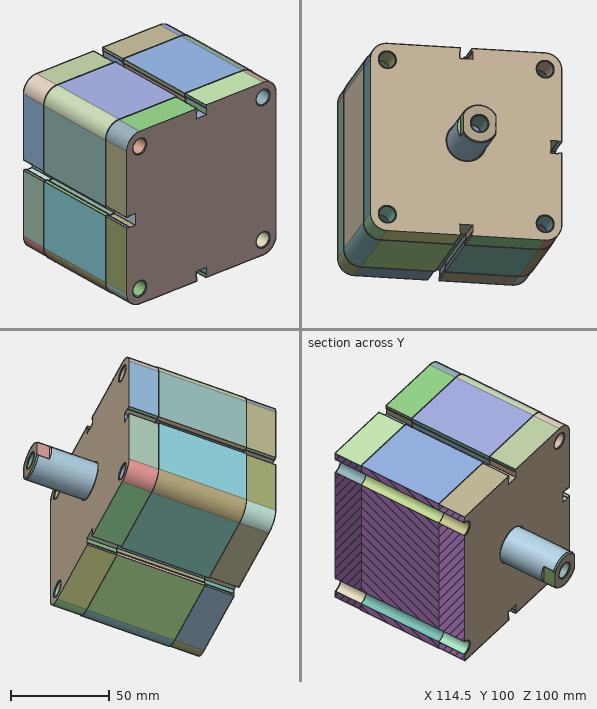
import cadquery as cq
import math


total_length = 114.5
rod_reach = 33.0
cap_length = 16.4
barrel_length = total_length - rod_reach - 2 * cap_length
rear_cap_start = cap_length + barrel_length

barrel_width = 100.0
cap_inset = 0.29
cap_width = barrel_width - 2 * cap_inset
screw_offset = 41.0
screw_sides = (-screw_offset, screw_offset)
screw_places = [(y, z) for y in screw_sides for z in screw_sides]
screw_hole_diameter = 8.5
hole_chamfer = 0.5

slot_floor_offset = 44.0
slot_lip_offset = 47.4
barrel_mouth_width = 5.2
barrel_groove_width = 6.0
cap_slot_clearance = 0.4
slot_turns = (0, 90, 180)

rod_diameter = 20.0
rod_chamfer_length = 0.9
rod_chamfer_depth = 0.5
flat_spacing = 17.0
flat_length = 6.9
flat_runout = 0.6
rod_hole_diameter = 8.7
rod_hole_depth = 18.3
drill_point_angle = 118.0


def slot_cutter(length, clearance):
    """Stepped slot on the +Z side, grown by a clearance on each wall and lip."""
    half_mouth = barrel_mouth_width / 2 + clearance
    half_groove = barrel_groove_width / 2 + clearance
    lip = slot_lip_offset + clearance
    outside = barrel_width / 2
    return (
        cq.Workplane("YZ")
        .polyline([
            (-half_groove, slot_floor_offset),
            (half_groove, slot_floor_offset),
            (half_groove, lip),
            (half_mouth, lip),
            (half_mouth, outside),
            (-half_mouth, outside),
            (-half_mouth, lip),
            (-half_groove, lip),
        ])
        .close()
        .extrude(length)
    )


def countersink(x, y, z, hole_diameter, depth_direction):
    """Cone that chamfers the mouth of a hole opening at (x, y, z) and running along X."""
    hole_radius = hole_diameter / 2
    return cq.Workplane(
        cq.Solid.makeCone(
            hole_radius + hole_chamfer,
            hole_radius,
            hole_chamfer,
            cq.Vector(x, y, z),
            cq.Vector(depth_direction, 0, 0),
        )
    )


def slotted_block(start, length, width, slot_clearance):
    """Square block along X with four screw holes and three sensor slots."""
    block = (
        cq.Workplane("YZ")
        .rect(width, width)
        .extrude(length)
        .edges("|X")
        .fillet(width / 2 - screw_offset)
    )
    holes = (
        cq.Workplane("YZ")
        .pushPoints(screw_places)
        .circle(screw_hole_diameter / 2)
        .extrude(length)
    )
    block = block.cut(holes)
    slot = slot_cutter(length, slot_clearance)
    for turn in slot_turns:
        block = block.cut(slot.rotate((0, 0, 0), (1, 0, 0), turn))
    return block.translate((start, 0, 0))


def make_barrel():
    return slotted_block(cap_length, barrel_length, barrel_width, 0)


def make_cap(start, outer_face, depth_direction):
    """End cap whose screw holes are chamfered on its outer face."""
    cap = slotted_block(start, cap_length, cap_width, cap_slot_clearance)
    for y, z in screw_places:
        cap = cap.cut(countersink(outer_face, y, z, screw_hole_diameter, depth_direction))
    return cap


def make_front_cap():
    """Front cap with a chamfered bore that fits the rod."""
    bore = cq.Workplane("YZ").circle(rod_diameter / 2).extrude(cap_length)
    return make_cap(0, 0, 1).cut(bore).cut(countersink(0, 0, 0, rod_diameter, 1))


def make_rear_cap():
    return make_cap(rear_cap_start, rear_cap_start + cap_length, -1)


def flat_cutter():
    """Material beyond the wrench flat on the +Y side, ending in a slightly sloped wall."""
    flat_offset = flat_spacing / 2
    rod_radius = rod_diameter / 2
    return (
        cq.Workplane("XY", origin=(-rod_reach, 0, 0))
        .moveTo(0, flat_offset)
        .lineTo(flat_length, flat_offset)
        .lineTo(flat_length + flat_runout, rod_radius)
        .lineTo(0, rod_radius)
        .close()
        .extrude(rod_radius, both=True)
    )


def rod_hole_cutter():
    """Blind drilled hole in the free end of the rod, with a conical bottom."""
    hole_radius = rod_hole_diameter / 2
    point_length = hole_radius / math.tan(math.radians(drill_point_angle / 2))
    return (
        cq.Workplane("XY", origin=(-rod_reach, 0, 0))
        .lineTo(0, hole_radius)
        .lineTo(rod_hole_depth, hole_radius)
        .lineTo(rod_hole_depth + point_length, 0)
        .close()
        .revolve(360, (0, 0, 0), (1, 0, 0))
    )


def make_rod():
    """Rod from its free end to the barrel, with two wrench flats and an end hole."""
    rod_radius = rod_diameter / 2
    rod = (
        cq.Workplane("XY", origin=(-rod_reach, 0, 0))
        .lineTo(0, rod_radius - rod_chamfer_depth)
        .lineTo(rod_chamfer_length, rod_radius)
        .lineTo(rod_reach + cap_length, rod_radius)
        .lineTo(rod_reach + cap_length, 0)
        .close()
        .revolve(360, (0, 0, 0), (1, 0, 0))
    )
    flat = flat_cutter()
    rod = rod.cut(flat).cut(flat.mirror("XZ"))
    rod = rod.cut(rod_hole_cutter())
    return rod.cut(countersink(-rod_reach, 0, 0, rod_hole_diameter, 1))


front_cap = make_front_cap()
barrel = make_barrel()
rear_cap = make_rear_cap()
rod = make_rod()

result = cq.Compound.makeCompound([front_cap.val(), barrel.val(), rear_cap.val(), rod.val()])